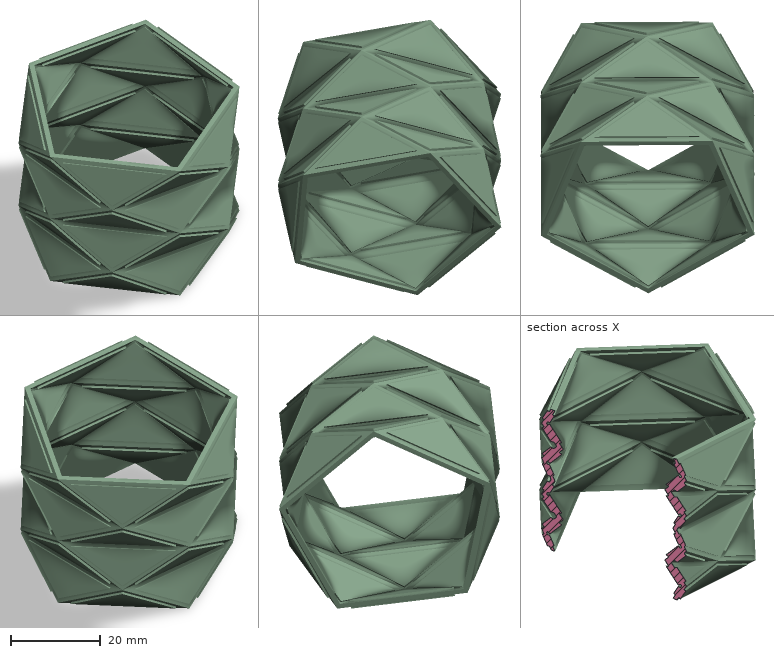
import cadquery as cq
import math

sides = 5
layers = 4
corner_radius = 25.0
layer_height = 10.0
wall = 1.0
panel_inset = 1.0
panel_rise = 0.5

half_step = 180.0 / sides
edge_apothem = corner_radius * math.cos(math.radians(half_step))
half_base = corner_radius * math.sin(math.radians(half_step))
lean = math.atan2(corner_radius - edge_apothem, layer_height)
facet_height = layer_height / math.cos(lean)

half_apex_angle = math.atan2(half_base, facet_height)
panel_apex = facet_height - panel_inset / math.sin(half_apex_angle)
panel_half_base = (panel_apex - panel_inset) * math.tan(half_apex_angle)
panel_outline = [
    (-panel_half_base, panel_inset),
    (panel_half_base, panel_inset),
    (0, panel_apex),
]


def level_turn(level):
    """Angle of a level's first corner: 0 at the top, shifted half a step on every other level."""
    return half_step * ((layers - level) % 2)


def level_polygon(apothem, turn, z):
    """Wire of a regular polygon at height z with its first corner at the given angle."""
    radius = apothem / math.cos(math.radians(half_step))
    angles = [math.radians(turn + 2 * half_step * i) for i in range(sides)]
    corners = [cq.Vector(radius * math.cos(a), radius * math.sin(a), z) for a in angles]
    return cq.Wire.makePolygon(corners, close=True)


def frustum(base_level, apex_level, offset):
    """Solid bounded by the facets with base edges on one level and apexes on the other."""
    inward = offset / math.cos(lean)
    turn = level_turn(base_level)
    base = level_polygon(edge_apothem - inward, turn, base_level * layer_height)
    wide = level_polygon(corner_radius - inward, turn, apex_level * layer_height)
    return cq.Workplane(cq.Solid.makeLoft([base, wide], True))


def antiprism(level, offset):
    """One layer above a level, with all its side facets moved inward by the offset."""
    return frustum(level, level + 1, offset).intersect(frustum(level + 1, level, offset))


def stack(offset):
    """All layers joined into one body."""
    body = antiprism(0, offset)
    for level in range(1, layers):
        body = body.union(antiprism(level, offset))
    return body


def panel(base_level, apex_level, edge):
    """Triangular plate through the wall at one facet, standing proud on both faces."""
    direction = apex_level - base_level
    angle = math.radians(level_turn(base_level) + half_step * (2 * edge + 1))
    outward = cq.Vector(math.cos(angle), math.sin(angle), 0)
    along_base = cq.Vector(-math.sin(angle), math.cos(angle), 0)
    facet_plane = cq.Plane(
        origin=outward * edge_apothem + cq.Vector(0, 0, base_level * layer_height),
        xDir=along_base * direction,
        normal=outward * math.cos(lean) - cq.Vector(0, 0, direction * math.sin(lean)),
    )
    depth = wall + panel_rise
    return (
        cq.Workplane(facet_plane)
        .workplane(offset=-depth)
        .polyline(panel_outline)
        .close()
        .extrude(depth + panel_rise)
    )


result = stack(0).cut(stack(wall))

for level in range(layers):
    for edge in range(sides):
        result = result.union(panel(level, level + 1, edge))
        result = result.union(panel(level + 1, level, edge))